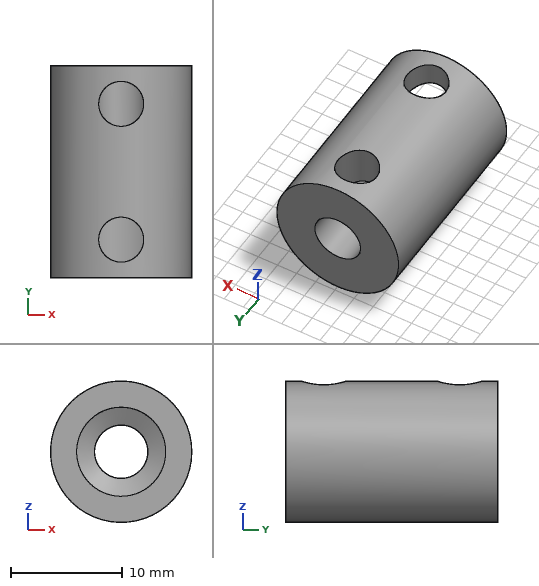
import cadquery as cq
import math

length = 19.05
outer_diameter = 12.7
large_bore_diameter = 8.0
small_bore_diameter = 4.76
large_bore_depth = 9.52
drill_point_angle = 118.0
screw_hole_diameter = 4.04
screw_hole_inset = 3.43

outer_radius = outer_diameter / 2
large_radius = large_bore_diameter / 2
small_radius = small_bore_diameter / 2
front_y = -length / 2
back_y = length / 2
cone_start_y = front_y + large_bore_depth
cone_length = (large_radius - small_radius) / math.tan(math.radians(drill_point_angle / 2))


def make_sleeve():
    """Revolve the wall section: wide front bore, drill-point cone, narrow rear bore."""
    section = [
        (large_radius, front_y),
        (outer_radius, front_y),
        (outer_radius, back_y),
        (small_radius, back_y),
        (small_radius, cone_start_y + cone_length),
        (large_radius, cone_start_y),
    ]
    return cq.Workplane("XY").polyline(section).close().revolve(360, (0, 0), (0, 1))


def make_screw_hole(y):
    """Cutter that opens the top wall down to the bore axis."""
    return cq.Workplane("XY").center(0, y).circle(screw_hole_diameter / 2).extrude(outer_radius)


result = make_sleeve()
for hole_y in (front_y + screw_hole_inset, back_y - screw_hole_inset):
    result = result.cut(make_screw_hole(hole_y))